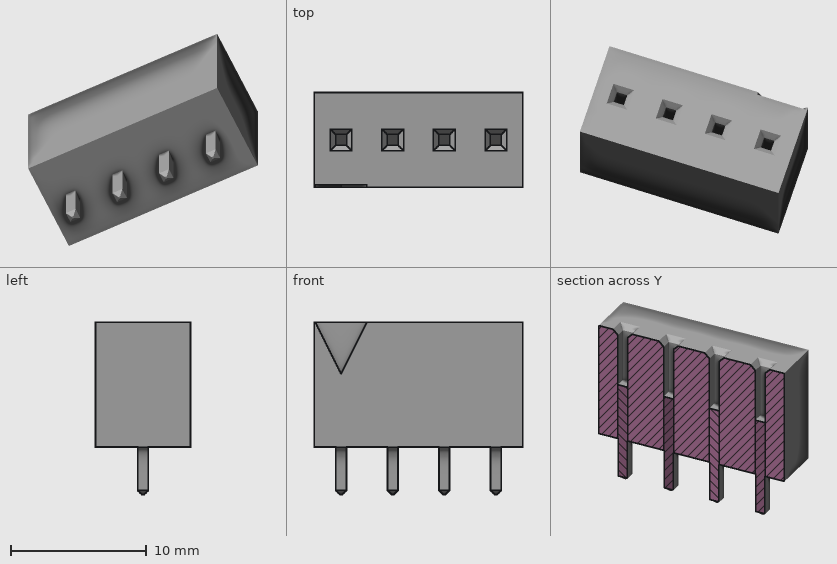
import cadquery as cq

LENGTH = 15.4
WIDTH = 7.0
HEIGHT = 9.21

CONTACT_COUNT = 4
PITCH = 3.8
CONTACT_XS = [(i - (CONTACT_COUNT - 1) / 2) * PITCH for i in range(CONTACT_COUNT)]

PIN_SIDE = 0.8
PIN_PROTRUSION = 12.7 - HEIGHT
PIN_TOP = HEIGHT / 2
TIP_CHAMFER = 0.32

MOUTH_SIDE = 1.6
FUNNEL_DEPTH = (MOUTH_SIDE - PIN_SIDE) / 2

MARK_SIZE = PITCH
MARK_DEPTH = 0.2


def make_socket(x):
    """Cutting tool for one socket: a passage through the housing and a funnel mouth."""
    passage = cq.Workplane("XY").center(x, 0).rect(PIN_SIDE, PIN_SIDE).extrude(HEIGHT)
    funnel = (
        cq.Workplane("XY", origin=(x, 0, HEIGHT - FUNNEL_DEPTH))
        .rect(PIN_SIDE, PIN_SIDE)
        .workplane(offset=FUNNEL_DEPTH)
        .rect(MOUTH_SIDE, MOUTH_SIDE)
        .loft(ruled=True)
    )
    return passage.union(funnel)


def make_mark():
    """Cutting tool for the first-contact triangle, pointing down from the top edge."""
    x = CONTACT_XS[0]
    return (
        cq.Workplane("XZ", origin=(0, -WIDTH / 2, 0))
        .moveTo(x - MARK_SIZE / 2, HEIGHT)
        .lineTo(x + MARK_SIZE / 2, HEIGHT)
        .lineTo(x, HEIGHT - MARK_SIZE)
        .close()
        .extrude(-MARK_DEPTH)
    )


def make_housing():
    """Rectangular housing with the sockets and the triangular mark cut out."""
    housing = cq.Workplane("XY").box(LENGTH, WIDTH, HEIGHT, centered=(True, True, False))
    for x in CONTACT_XS:
        housing = housing.cut(make_socket(x))
    return housing.cut(make_mark())


def make_pin(x):
    """Square pin filling the lower half of its socket and tapering at the bottom."""
    return (
        cq.Workplane("XY", origin=(x, 0, -PIN_PROTRUSION))
        .rect(PIN_SIDE, PIN_SIDE)
        .extrude(PIN_PROTRUSION + PIN_TOP)
        .faces("<Z")
        .chamfer(TIP_CHAMFER)
    )


housing = make_housing()
pins = [make_pin(x) for x in CONTACT_XS]

result = cq.Compound.makeCompound([housing.solids().val(), *[pin.solids().val() for pin in pins]])